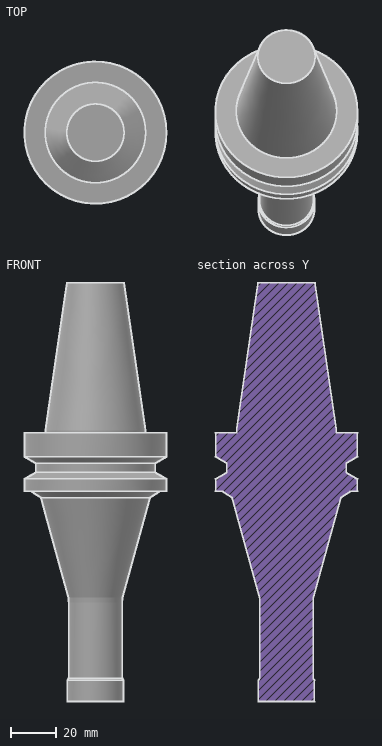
import cadquery as cq
import math


gauge_diameter = 44.45
taper_length = 65.4
taper_ratio = 7 / 24
small_end_diameter = gauge_diameter - taper_ratio * taper_length

flange_diameter = 63.0
flange_top = -1.0
flange_bottom = -27.0
groove_floor_diameter = 53.0
groove_centre = -16.6
groove_floor_width = 4.0
groove_wall_angle = 30.0

neck_chamfer_top_diameter = 57.0
neck_chamfer_height = 2.8
neck_top_diameter = 48.4

stem_diameter = 23.8
lead_cone_top = -73.9
lead_cone_height = 2.2
lead_cone_half_angle = 4.0

nose_diameter = 25.0
nose_bottom = -120.0
nose_length = 9.4
nose_cone_angle = 30.0


def add_shank_taper(profile):
    """Start on the axis at the small end and run down to the flange face."""
    return (
        profile.moveTo(0, taper_length)
        .lineTo(small_end_diameter / 2, taper_length)
        .lineTo(gauge_diameter / 2, 0)
        .lineTo(gauge_diameter / 2, flange_top)
    )


def add_flange(profile):
    """Flange rim with the groove cut into it, down to the chamfer under the flange."""
    groove_depth = (flange_diameter - groove_floor_diameter) / 2
    wall_height = groove_depth * math.tan(math.radians(groove_wall_angle))
    floor_top = groove_centre + groove_floor_width / 2
    floor_bottom = groove_centre - groove_floor_width / 2
    return (
        profile.lineTo(flange_diameter / 2, flange_top)
        .lineTo(flange_diameter / 2, floor_top + wall_height)
        .lineTo(groove_floor_diameter / 2, floor_top)
        .lineTo(groove_floor_diameter / 2, floor_bottom)
        .lineTo(flange_diameter / 2, floor_bottom - wall_height)
        .lineTo(flange_diameter / 2, flange_bottom)
        .lineTo(neck_chamfer_top_diameter / 2, flange_bottom)
    )


def add_neck(profile):
    """Chamfer, neck cone and the shallow cone that leads into the stem."""
    stem_radius = stem_diameter / 2
    lead_cone_step = lead_cone_height * math.tan(math.radians(lead_cone_half_angle))
    return (
        profile.lineTo(neck_top_diameter / 2, flange_bottom - neck_chamfer_height)
        .lineTo(stem_radius + lead_cone_step, lead_cone_top)
        .lineTo(stem_radius, lead_cone_top - lead_cone_height)
    )


def add_stem_and_nose(profile):
    """Stem, short cone and nose collar, back to the axis at the lower end."""
    nose_top = nose_bottom + nose_length
    nose_step = (nose_diameter - stem_diameter) / 2
    nose_cone_height = nose_step / math.tan(math.radians(nose_cone_angle))
    return (
        profile.lineTo(stem_diameter / 2, nose_top + nose_cone_height)
        .lineTo(nose_diameter / 2, nose_top)
        .lineTo(nose_diameter / 2, nose_bottom)
        .lineTo(0, nose_bottom)
    )


outline = add_shank_taper(cq.Workplane("XZ"))
outline = add_flange(outline)
outline = add_neck(outline)
outline = add_stem_and_nose(outline)

result = outline.close().revolve(360, (0, 0, 0), (0, 1, 0))